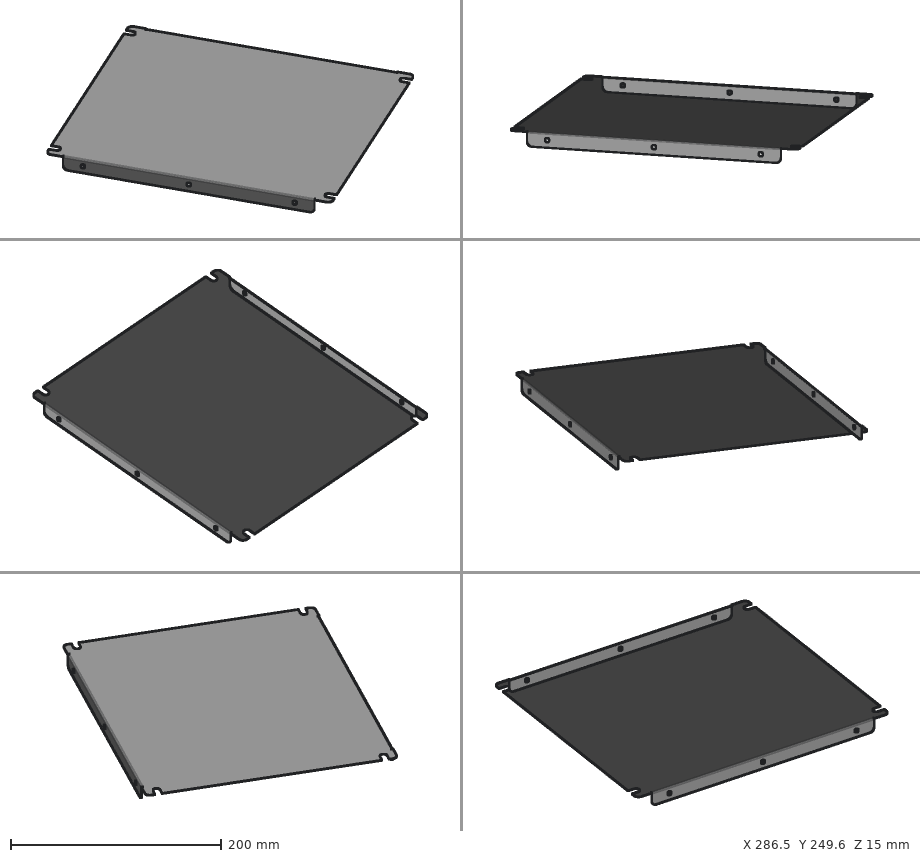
import cadquery as cq

panel_length = 286.5
panel_width = 249.6
panel_height = 15.0
sheet = 0.8
bend_inner_radius = 1.0
bend_outer_radius = bend_inner_radius + sheet
corner_radius = 5.0

tab_length = 17.0
flange_length = panel_length - 2 * tab_length
hole_diameter = 4.2
hole_end_distance = 20.0
hole_pitch = flange_length / 2 - hole_end_distance

slot_width = 7.0
slot_depth = 10.5
slot_pitch = 225.0

half_length = panel_length / 2
half_width = panel_width / 2


def make_plate():
    """Flat top sheet with rounded corners; its top face lies at Z = 0."""
    plate = cq.Workplane("XY", origin=(0, 0, -sheet)).rect(panel_length, panel_width).extrude(sheet)
    return plate.edges("|Z").fillet(corner_radius)


def make_slots():
    """Cutters for the four round-ended slots, running out through the X edges."""
    centres = [(x * half_length, y * slot_pitch / 2) for x in (-1, 1) for y in (-1, 1)]
    return (
        cq.Workplane("XY", origin=(0, 0, -sheet))
        .pushPoints(centres)
        .slot2D(2 * slot_depth, slot_width)
        .extrude(sheet)
    )


def make_bend_clearances():
    """Cutters for the two strips of flat sheet that the bends replace."""
    centre_y = half_width - bend_outer_radius / 2
    return (
        cq.Workplane("XY", origin=(0, 0, -sheet))
        .pushPoints([(0, -centre_y), (0, centre_y)])
        .rect(flange_length, bend_outer_radius)
        .extrude(sheet)
    )


def make_flange():
    """Bend and flange along the -Y edge, with rounded lower corners and three holes."""
    outer_y = -half_width
    inner_y = outer_y + sheet
    bend_y = outer_y + bend_outer_radius
    flange = (
        cq.Workplane("YZ", origin=(-flange_length / 2, 0, 0))
        .moveTo(bend_y, 0)
        .radiusArc((outer_y, -bend_outer_radius), -bend_outer_radius)
        .lineTo(outer_y, -panel_height)
        .lineTo(inner_y, -panel_height)
        .lineTo(inner_y, -bend_outer_radius)
        .radiusArc((bend_y, -sheet), bend_inner_radius)
        .close()
        .extrude(flange_length)
    )
    flange = flange.edges("|Y").fillet(corner_radius)
    holes = (
        cq.Workplane("XZ", origin=(0, inner_y, -panel_height / 2))
        .pushPoints([(step * hole_pitch, 0) for step in (-1, 0, 1)])
        .circle(hole_diameter / 2)
        .extrude(sheet)
    )
    return flange.cut(holes)


front_flange = make_flange()
back_flange = front_flange.mirror("XZ")
plate = make_plate().cut(make_slots()).cut(make_bend_clearances())

result = plate.union(front_flange).union(back_flange)